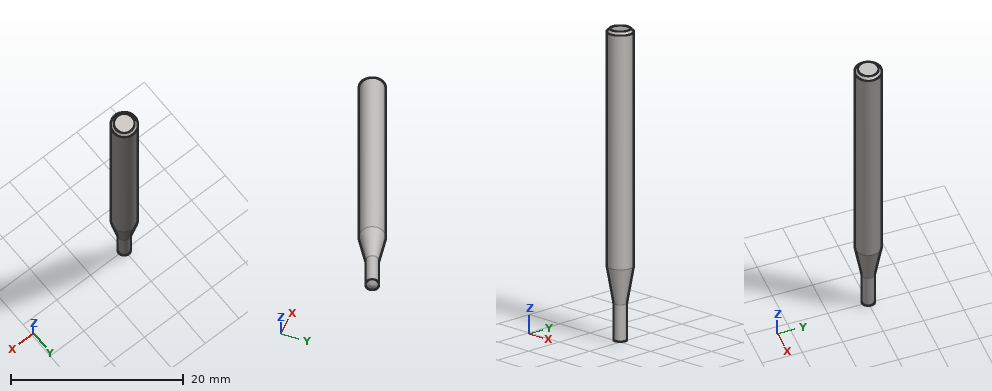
import cadquery as cq
import math

shank_diameter = 3.175
overall_length = 38.1
shank_chamfer = 0.381

neck_diameter = shank_diameter / 2
neck_top = 4.7625
point_angle = 140.0
taper_half_angle = 10.0

shank_radius = shank_diameter / 2
neck_radius = neck_diameter / 2
point_height = neck_radius / math.tan(math.radians(point_angle / 2))
taper_height = (shank_radius - neck_radius) / math.tan(math.radians(taper_half_angle))
taper_top = neck_top + taper_height


def half_profile():
    """Closed half section in the XZ plane, from the point up to the shank end."""
    return (
        cq.Workplane("XZ")
        .moveTo(0, 0)
        .lineTo(neck_radius, point_height)
        .lineTo(neck_radius, neck_top)
        .lineTo(shank_radius, taper_top)
        .lineTo(shank_radius, overall_length - shank_chamfer)
        .lineTo(shank_radius - shank_chamfer, overall_length)
        .lineTo(0, overall_length)
        .close()
    )


def revolve_about_z(profile):
    """Full turn of an XZ profile about the Z axis."""
    return profile.revolve(360, (0, 0, 0), (0, 1, 0))


result = revolve_about_z(half_profile())